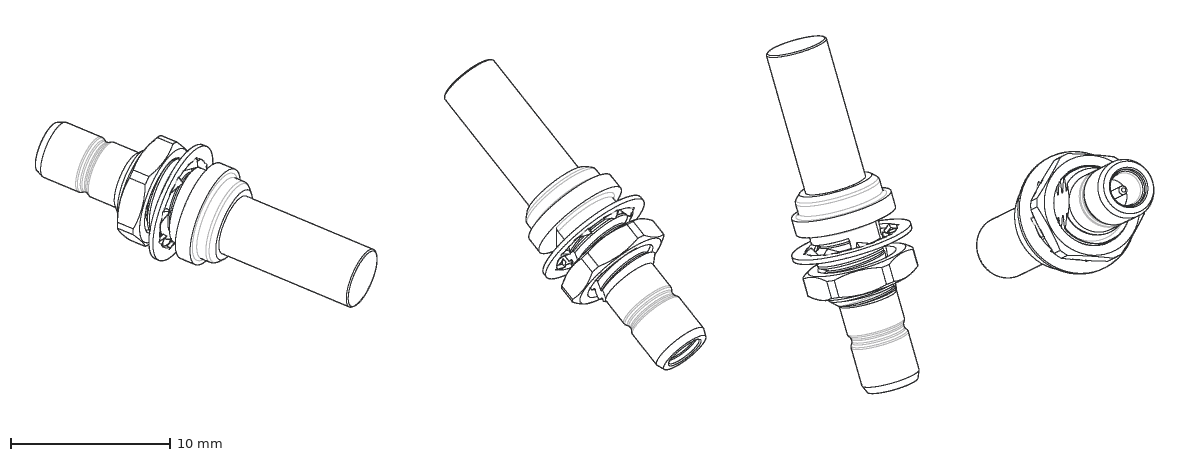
import cadquery as cq
import math


total_length = 22.6
barrel_radius = 1.88
nose_radius = 1.67
nose_length = 0.5
groove_start = 3.07
groove_width = 0.8
groove_slope_length = 0.25
groove_depth = 0.15
groove_blend_radius = 0.2

thread_start = 5.79
thread_radius = 2.49
thread_pitch = 0.8
thread_turns = 5.75
thread_end = 9.97
thread_root_radius = 2.01
thread_crest_width = 0.14
thread_flank_angle = 30.0
flat_offset = barrel_radius

flange_start = 10.94
flange_end = 12.0
flange_radius = 3.25
corner_blend = 0.2
shoulder_end = 13.35
shoulder_radius = 2.75
shoulder_chamfer = 0.38
shoulder_blend_radius = 0.27
sleeve_radius = 1.97
sleeve_end_chamfer = 0.1

mouth_radius = 1.29
mouth_chamfer = 0.1
entry_radius = mouth_radius - mouth_chamfer
entry_depth = 0.36
throat_radius = 1.1
throat_start = 0.43
throat_end = 0.68
bore_radius = 1.05
bore_depth = 3.16
pin_radius = 0.27
pin_tip_radius = 0.14
pin_tip_x = 0.93

nut_start = 6.73
nut_thickness = 1.6
nut_across_flats = 6.49
nut_corner_radius = 3.6
nut_face_radius = 3.19
nut_chamfer_angle = 30.0
nut_bore_radius = 2.55

washer_center_x = 9.54
washer_thickness = 0.3
washer_radius = 3.89
washer_ring_inner_radius = 3.0
tooth_count = 8
first_tooth_angle = 180 / tooth_count
tooth_tip_radius = 2.5
tooth_root_overlap = 0.11
tooth_width = 1.35
tooth_thickness = 0.27
tooth_twist = -24.0


def revolve_about_x(profile):
    """Revolve a closed (x, radius) workplane outline around the X axis."""
    return profile.close().revolve(360, (0, 0, 0), (1, 0, 0))


def tube(x_start, length, outer_radius, inner_radius):
    """Plain ring with its axis on X."""
    return (
        cq.Workplane("YZ", origin=(x_start, 0, 0))
        .circle(outer_radius)
        .circle(inner_radius)
        .extrude(length)
    )


def blend_edges(body, x_start, x_end, radius):
    """Round the circular edges that lie between two X positions."""
    reach = washer_radius
    band = cq.selectors.BoxSelector((x_start, -reach, -reach), (x_end, reach, reach))
    return body.edges(band).fillet(radius)


def plug_barrel():
    groove_end = groove_start + groove_width
    groove_floor = barrel_radius - groove_depth
    profile = (
        cq.Workplane("XY")
        .lineTo(0, nose_radius)
        .lineTo(nose_length, barrel_radius)
        .lineTo(groove_start, barrel_radius)
        .lineTo(groove_start + groove_slope_length, groove_floor)
        .lineTo(groove_end - groove_slope_length, groove_floor)
        .lineTo(groove_end, barrel_radius)
        .lineTo(thread_start, barrel_radius)
        .lineTo(thread_start, 0)
    )
    edge_margin = 0.02
    return blend_edges(
        revolve_about_x(profile), groove_start - edge_margin, groove_end + edge_margin, groove_blend_radius
    )


def thread_groove():
    """V groove cutter on a right-handed helix that ends on the -Z side."""
    helix_length = thread_turns * thread_pitch
    cutter_overshoot = 0.11
    flank_slope = math.tan(math.radians(thread_flank_angle))
    cutter_radius = thread_radius + cutter_overshoot
    half_mouth = (thread_pitch - thread_crest_width) / 2
    half_root = half_mouth - (thread_radius - thread_root_radius) * flank_slope
    half_outer = half_mouth + cutter_overshoot * flank_slope
    path = cq.Wire.makeHelix(thread_pitch, helix_length, thread_radius)
    cutter = (
        cq.Workplane("XZ")
        .moveTo(thread_root_radius, -half_root)
        .lineTo(cutter_radius, -half_outer)
        .lineTo(cutter_radius, half_outer)
        .lineTo(thread_root_radius, half_root)
        .close()
        .sweep(cq.Workplane(path), isFrenet=True)
    )
    end_turn = -360 * thread_turns
    return (
        cutter.rotate((0, 0, 0), (0, 1, 0), 90)
        .rotate((0, 0, 0), (1, 0, 0), end_turn)
        .translate((thread_end - helix_length, 0, 0))
    )


def threaded_section():
    lead_in = thread_radius - barrel_radius
    profile = (
        cq.Workplane("XY")
        .moveTo(thread_start, 0)
        .lineTo(thread_start, barrel_radius)
        .lineTo(thread_start + lead_in, thread_radius)
        .lineTo(flange_start - corner_blend, thread_radius)
        .radiusArc((flange_start, thread_radius + corner_blend), -corner_blend)
        .lineTo(flange_start, 0)
    )
    length = flange_start - thread_start
    flat_cut = cq.Workplane("XY").box(length, thread_radius, 2 * thread_radius, centered=(False, False, True))
    flat_cut = flat_cut.translate((thread_start, flat_offset, 0))
    return revolve_about_x(profile).cut(thread_groove()).cut(flat_cut)


def flange_and_sleeve():
    flange = (
        cq.Workplane("XY")
        .moveTo(flange_start, 0)
        .lineTo(flange_start, flange_radius)
        .lineTo(flange_end, flange_radius)
        .lineTo(flange_end, shoulder_radius + corner_blend)
        .radiusArc((flange_end + corner_blend, shoulder_radius), -corner_blend)
        .lineTo(shoulder_end - shoulder_chamfer, shoulder_radius)
        .lineTo(shoulder_end, shoulder_radius - shoulder_chamfer)
        .lineTo(shoulder_end, sleeve_radius)
        .lineTo(total_length - sleeve_end_chamfer, sleeve_radius)
        .lineTo(total_length, sleeve_radius - sleeve_end_chamfer)
        .lineTo(total_length, 0)
    )
    chamfer_start = shoulder_end - shoulder_chamfer
    edge_margin = 0.02
    return blend_edges(
        revolve_about_x(flange), chamfer_start - edge_margin, chamfer_start + edge_margin, shoulder_blend_radius
    )


def socket():
    """Space inside the plug end, with the contact pin left standing in it."""
    pin_tip_length = pin_radius - pin_tip_radius
    profile = (
        cq.Workplane("XY")
        .lineTo(0, mouth_radius)
        .lineTo(mouth_chamfer, entry_radius)
        .lineTo(entry_depth, entry_radius)
        .lineTo(throat_start, throat_radius)
        .lineTo(throat_end, bore_radius)
        .lineTo(bore_depth, bore_radius)
        .lineTo(bore_depth, pin_radius)
        .lineTo(pin_tip_x + pin_tip_length, pin_radius)
        .lineTo(pin_tip_x, pin_tip_radius)
        .lineTo(pin_tip_x, 0)
    )
    return revolve_about_x(profile)


def make_housing():
    body = plug_barrel().union(threaded_section()).union(flange_and_sleeve())
    return body.cut(socket())


def make_nut():
    nut_end = nut_start + nut_thickness
    chamfer_length = (nut_corner_radius - nut_face_radius) * math.tan(math.radians(nut_chamfer_angle))
    hexagon = (
        cq.Workplane("YZ", origin=(nut_start, 0, 0))
        .polygon(6, nut_across_flats, circumscribed=True)
        .extrude(nut_thickness)
        .rotate((0, 0, 0), (1, 0, 0), 30)
    )
    envelope = revolve_about_x(
        cq.Workplane("XY")
        .moveTo(nut_start, 0)
        .lineTo(nut_start, nut_face_radius)
        .lineTo(nut_start + chamfer_length, nut_corner_radius)
        .lineTo(nut_end - chamfer_length, nut_corner_radius)
        .lineTo(nut_end, nut_face_radius)
        .lineTo(nut_end, 0)
    )
    bore = cq.Workplane("YZ", origin=(nut_start, 0, 0)).circle(nut_bore_radius).extrude(nut_thickness)
    return hexagon.intersect(envelope).cut(bore)


def washer_tooth():
    """Tooth on the +Z side, twisted progressively from the ring to its tip."""
    root_radius = washer_ring_inner_radius + tooth_root_overlap
    return (
        cq.Workplane("XY", origin=(washer_center_x, 0, root_radius))
        .rect(tooth_thickness, tooth_width)
        .workplane(offset=tooth_tip_radius - root_radius)
        .transformed(rotate=(0, 0, tooth_twist))
        .rect(tooth_thickness, tooth_width)
        .loft()
    )


def make_washer():
    ring_start = washer_center_x - washer_thickness / 2
    washer = tube(ring_start, washer_thickness, washer_radius, washer_ring_inner_radius)
    for index in range(tooth_count):
        angle = first_tooth_angle + index * 360 / tooth_count
        washer = washer.union(washer_tooth().rotate((0, 0, 0), (1, 0, 0), angle))
    return washer


housing = make_housing()
nut = make_nut()
washer = make_washer()

result = cq.Compound.makeCompound([body.solids().val() for body in (housing, nut, washer)])